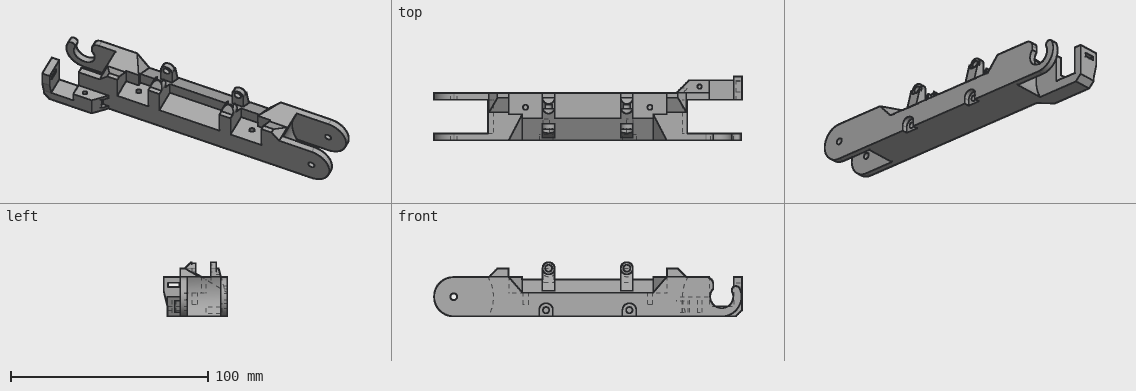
import cadquery as cq
import math

width = 24.0
height = 20.0
end_radius = height / 2
arm_thickness = 3.5
pin_radius = 1.65
pin_z = height / 2
pin_x = end_radius
hook_x = 145.7
middle_x = (pin_x + hook_x) / 2
clearance_radius = 20.0
overcut = 1.0

hook_inner_radius = 5.8
lip_x = 141.5
lip_radius = 3.8
tip_center_radius = (end_radius + hook_inner_radius) / 2
tip_radius = (end_radius - hook_inner_radius) / 2
tip_angle = math.radians(25)

floor_front_z = 12.1
floor_slope = 0.6
trough_half_length = 33.15
trough_end_run = 6.85
trough_depth_y = (height - floor_front_z) / floor_slope
ridge_z = 18.75
ledge_z = floor_front_z
ledge_half_length = 40.1
ledge_hole_offset = 31.5
ledge_hole_y = 16.7
ledge_hole_radius = 1.3
ledge_hole_depth = 6.0

wedge_length = 9.9
wedge_depth = 9.9
wedge_height = 4.3
wedge_top_length = 5.6
wedge_top_depth = 2.5

lug_offset = 19.8
lug_radius = 3.1
lug_axis_z = 24.4
lug_top_z = lug_axis_z + lug_radius
lug_hole_radius = 1.75
front_lug_base_y = 1.4
front_lug_lean = math.radians(15)
front_lug_face_y = 5.6
front_lug_back_y = 8.5
rear_lug_face_y = 16.0
rear_lug_slot_end_y = 18.0
rear_lug_block_y = 21.5
rear_lug_relief_radius = 4.2

notch_offset = 21.1
notch_radius = 3.5
notch_axis_z = 3.2
notch_depth = 3.0
notch_hole_radius = 1.6
notch_hole_depth = 8.0

rear_arm_end_x = 139.5
side_block_back_y = 30.5
side_block_start_x = 122.8
side_block_z = 10.0
side_hole_x = 134.5
side_hole_y = 27.2
side_hole_radius = 1.1
side_hole_depth = 8.0
recess_y = 26.7
recess_low_z = 2.0
recess_high_z = 8.0
recess_depth_x = 3.0
shelf_z = 5.2
plate_x = 151.8
plate_end_x = 156.0
plate_back_y = 32.4
plate_taper_top_z = 13.0
plate_chamfer = 3.2
window_y = (24.5, 30.0)
window_z = (15.0, 17.0)


def box(x, y, z):
    """Box between the (low, high) limits given for each axis."""
    corner = cq.Workplane("XY", origin=(x[0], y[0], z[0]))
    return corner.box(x[1] - x[0], y[1] - y[0], z[1] - z[0], centered=False)


def rod(x, z, radius, y):
    """Cylinder along Y between the (low, high) limits y."""
    return cq.Workplane("XZ", origin=(x, y[0], z)).circle(radius).extrude(y[0] - y[1])


def upright_hole(x, y, top_z, radius, depth):
    """Cylinder that reaches down from top_z."""
    return cq.Workplane("XY", origin=(x, y, top_z)).circle(radius).extrude(-depth)


def side_profile(points, x):
    """Extrude a (y, z) outline between the (low, high) limits x."""
    return cq.Workplane("YZ", origin=(x[0], 0, 0)).polyline(points).close().extrude(x[1] - x[0])


def mirrored_pair(shape):
    """A shape together with its mirror image about the middle of the link."""
    return shape.union(shape.mirror("YZ", (middle_x, 0, 0)))


def floor_z(y):
    """Height of the sloping trough floor."""
    return floor_front_z + floor_slope * y


def link_blank():
    """Bar with a rounded -X end; between the arms it is cut back around both pins."""
    bar = box((pin_x, hook_x), (0, width), (0, height))
    bar = bar.union(rod(pin_x, pin_z, end_radius, (0, width)))
    bar = bar.union(rod(hook_x, pin_z, end_radius, (0, arm_thickness)))
    gap = rod(pin_x, pin_z, clearance_radius, (arm_thickness, width - arm_thickness))
    bar = bar.cut(mirrored_pair(gap))
    bar = bar.cut(rod(pin_x, pin_z, pin_radius, (0, width)))
    beyond_rear_arm = box((rear_arm_end_x, hook_x), (width - arm_thickness, width), (0, height))
    return bar.cut(beyond_rear_arm)


def cut_hook_mouth(body):
    """Round seat that opens upward past a rounded lip, with a rounded hook tip."""
    arm_y = (0, arm_thickness)
    tip_x = hook_x + tip_center_radius * math.cos(tip_angle)
    tip_z = pin_z + tip_center_radius * math.sin(tip_angle)
    mouth_side_z = pin_z + (plate_end_x - hook_x) * math.tan(tip_angle)
    opening = (
        cq.Workplane("XZ")
        .moveTo(lip_x, pin_z)
        .lineTo(lip_x, height - lip_radius)
        .radiusArc((lip_x - lip_radius, height), -lip_radius)
        .lineTo(lip_x - lip_radius, height + overcut)
        .lineTo(plate_end_x, height + overcut)
        .lineTo(plate_end_x, mouth_side_z)
        .lineTo(hook_x, pin_z)
        .close()
        .extrude(-arm_thickness)
    )
    body = body.cut(opening)
    body = body.cut(rod(hook_x, pin_z, hook_inner_radius, arm_y))
    return body.union(rod(tip_x, tip_z, tip_radius, arm_y))


def trough_end_cut():
    """Tetrahedron that slants the -X end of the trough."""
    wall_x = middle_x - trough_half_length
    low = cq.Vector(wall_x, 0, floor_front_z)
    top = cq.Vector(wall_x, 0, height)
    back = cq.Vector(wall_x, trough_depth_y, height)
    outer = cq.Vector(wall_x - trough_end_run, 0, height)
    corners = [(low, top, back), (low, top, outer), (top, back, outer), (low, back, outer)]
    faces = [cq.Face.makeFromWires(cq.Wire.makePolygon(face, close=True)) for face in corners]
    return cq.Workplane(cq.Solid.makeSolid(cq.Shell.makeShell(faces)))


def cut_trough_and_ledge(body):
    """Trough with slanted ends, the ledge behind its ridge and two blind holes in the ledge."""
    trough_x = (middle_x - trough_half_length, middle_x + trough_half_length)
    ledge_x = (middle_x - ledge_half_length, middle_x + ledge_half_length)
    ridge_y = (ridge_z - floor_front_z) / floor_slope
    outline = [
        (0, floor_front_z),
        (ridge_y, ridge_z),
        (ridge_y, ledge_z),
        (width, ledge_z),
        (width, height),
        (0, height),
    ]
    body = body.cut(side_profile(outline, trough_x))
    body = body.cut(box(ledge_x, (trough_depth_y, width), (ledge_z, height)))
    body = body.cut(mirrored_pair(trough_end_cut()))
    hole_x = middle_x - ledge_hole_offset
    hole = upright_hole(hole_x, ledge_hole_y, ledge_z, ledge_hole_radius, ledge_hole_depth)
    return body.cut(mirrored_pair(hole))


def wedge_block():
    """Block at the -X end of the ledge, sloping toward -X and -Y."""
    inner_x = middle_x - ledge_half_length
    base_center = (inner_x - wedge_length / 2, width - wedge_depth / 2)
    top_center = (inner_x - wedge_top_length / 2, width - wedge_top_depth / 2)
    return (
        cq.Workplane("XY", origin=(*base_center, height))
        .rect(wedge_length, wedge_depth)
        .workplane(offset=wedge_height, origin=(*top_center, height))
        .rect(wedge_top_length, wedge_top_depth)
        .loft(ruled=True)
    )


def front_lug(x):
    """Leaning lug with a round head and a through hole."""
    lug_x = (x - lug_radius, x + lug_radius)
    base_z = floor_z(front_lug_base_y)
    lean_y = front_lug_base_y + (lug_axis_z - base_z) * math.tan(front_lug_lean)
    outline = [
        (front_lug_base_y, base_z),
        (lean_y, lug_axis_z),
        (front_lug_back_y, lug_axis_z),
        (front_lug_back_y, floor_front_z),
        (front_lug_base_y, floor_front_z),
    ]
    lug = side_profile(outline, lug_x)
    lug = lug.cut(rod(x, lug_axis_z, lug_radius, (0, front_lug_face_y)))
    lug = lug.union(rod(x, lug_axis_z, lug_radius, (front_lug_face_y, front_lug_back_y)))
    return lug.cut(rod(x, lug_axis_z, lug_hole_radius, (0, front_lug_back_y)))


def rear_lug(x):
    """Lug that backs onto a low block and holds the pin end in a slot open at the top."""
    lug_x = (x - lug_radius, x + lug_radius)
    root_y = trough_depth_y / 2
    shoulder_y = rear_lug_block_y - (lug_top_z - lug_axis_z)
    outline = [
        (root_y, floor_z(root_y)),
        (rear_lug_face_y, floor_z(rear_lug_face_y)),
        (rear_lug_face_y, lug_top_z),
        (shoulder_y, lug_top_z),
        (rear_lug_block_y, lug_axis_z),
        (width, lug_axis_z),
        (width, floor_front_z),
        (root_y, floor_front_z),
    ]
    envelope = box(lug_x, (0, width), (0, lug_axis_z)).union(rod(x, lug_axis_z, lug_radius, (0, width)))
    lug = side_profile(outline, lug_x).intersect(envelope)
    lug = lug.cut(rod(x, lug_axis_z, rear_lug_relief_radius, (0, rear_lug_face_y)))
    slot_y = (rear_lug_face_y, rear_lug_slot_end_y)
    slot_x = (x - lug_hole_radius, x + lug_hole_radius)
    lug = lug.cut(rod(x, lug_axis_z, lug_hole_radius, slot_y))
    return lug.cut(box(slot_x, slot_y, (lug_axis_z, lug_top_z)))


def bottom_notch(x):
    """Arched notch in the front face with a blind hole in its back wall."""
    notch_y = (0, notch_depth)
    notch = rod(x, notch_axis_z, notch_radius, notch_y)
    notch = notch.union(box((x - notch_radius, x + notch_radius), notch_y, (0, notch_axis_z)))
    return notch.union(rod(x, notch_axis_z, notch_hole_radius, (0, notch_depth + notch_hole_depth)))


def side_block():
    """Block with a 45 degree face behind the rear arm, stepping down to a shelf."""
    diagonal_run = side_block_back_y - width
    block = (
        cq.Workplane("XY")
        .moveTo(side_block_start_x, width)
        .lineTo(side_block_start_x + diagonal_run, side_block_back_y)
        .lineTo(rear_arm_end_x, side_block_back_y)
        .lineTo(rear_arm_end_x, width)
        .close()
        .extrude(side_block_z)
    )
    recess_run = recess_y - width
    recess = (
        cq.Workplane("XY", origin=(0, 0, recess_low_z))
        .moveTo(side_block_start_x, width)
        .lineTo(side_block_start_x + recess_run, recess_y)
        .lineTo(side_block_start_x + recess_run + recess_depth_x, recess_y)
        .lineTo(side_block_start_x + recess_depth_x, width)
        .close()
        .extrude(recess_high_z - recess_low_z)
    )
    block = block.cut(recess)
    hole = upright_hole(side_hole_x, side_hole_y, side_block_z, side_hole_radius, side_hole_depth)
    block = block.cut(hole)
    shelf = box((rear_arm_end_x, plate_x), (width - arm_thickness, side_block_back_y), (0, shelf_z))
    return block.union(shelf)


def upright_plate():
    """Plate with a tapered back edge, a chamfered foot and a rectangular window."""
    outline = [
        (width - arm_thickness, 0),
        (side_block_back_y, 0),
        (side_block_back_y, shelf_z),
        (plate_back_y, plate_taper_top_z),
        (plate_back_y, height),
        (width - arm_thickness, height),
    ]
    plate = side_profile(outline, (plate_x, plate_end_x))
    plate = plate.faces("<Z").edges(">X").chamfer(plate_chamfer)
    return plate.cut(box((plate_x, plate_end_x), window_y, window_z))


result = cut_hook_mouth(link_blank())
result = cut_trough_and_ledge(result)
result = result.union(mirrored_pair(wedge_block()))
for side in (-1, 1):
    hinge_x = middle_x + side * lug_offset
    result = result.union(front_lug(hinge_x))
    result = result.union(rear_lug(hinge_x))
    result = result.cut(bottom_notch(middle_x + side * notch_offset))
result = result.union(side_block()).union(upright_plate())